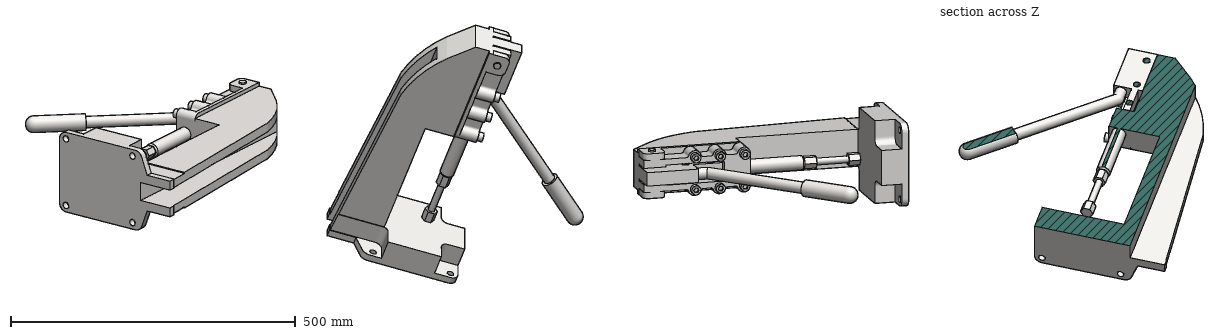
import cadquery as cq
import math


HEIGHT = 468.0
CLAMP_FACE_X = 21.5

BASE_LEFT = -76.0
BASE_RIGHT = 163.0
BASE_HALF = 150.0 / 2
PLATE_THICK = 12.5
PLATE_SHOULDER_X = 98.5
PRONG_START_X = 113.5
PLATE_CORNER_R = 15.0
BASE_HOLE_XS = (-62.0, 82.0)
BASE_HOLE_Z = 62.5
BASE_HOLE_D = 11.5
BASE_TOP = 49.5
SPINE_HALF = 32.0
WING_LEFT = -32.5
WING_RIGHT = 66.5
WING_FILLET = 12.5

FRAME_HALF = 33.5
COLUMN_LEFT = 74.0
SLANT_FOOT_X = 161.5
SLANT_TOP = (138.0, 330.0)
ARC_MID = (116.5, 386.5)
ARC_END = (86.0, 428.5)
HEAD_TOP_X = 47.0
HEAD_BOTTOM = 273.5
SLOT_LEFT = 99.5
SLOT_HALF = 17.0

CLAMP_LEFT = -18.5
FLANGE_X = 14.0
BOLT_Z = 29.0
BOSS_R = 11.5
BOSS_BLEND_R = 4.5
BOLT_PITCH = 45.0
BOLT_YS = [HEAD_BOTTOM + BOSS_R + i * BOLT_PITCH for i in range(3)]
CLAMP_HALF = BOLT_Z + BOSS_R
BOLT_HEAD_D = 16.5
BOLT_HEAD_H = 10.0
SOCKET_D = 9.5
SOCKET_DEPTH = 4.5
LUG_BOTTOM = 427.8
LUG_TOP = 467.5
LUG_R = 10.5
CHANNEL_HALF = 18.3
CHANNEL_BOTTOM = 321.0
CHANNEL_CORNER_R = 4.0
CHANNEL_NECK_HALF = 15.0

LEVER_LEFT = -39.0
LEVER_BOTTOM = 374.0
LEVER_HALF = 12.0
TOP_PIN_Y = 448.0
TOP_PIN_D = 12.5
TOP_PIN_HALF = 43.5
LINK_HALF = 12.0
LINK_PIN_HALF = 14.0
LINK_PINS = ((386.5, 12.0), (340.0, 12.0))

HANDLE_R = 10.5
ELBOW = (-25.5, 353.5)
HANDLE_TILT = 42.0
GRIP_R = 15.0
GRIP_START = 202.0
GRIP_END = 293.5

RAM_R = 12.5
RAM_BOTTOM = 174.0
RAM_CHAMFER = 3.5
SPINDLE_D = 12.0
NUT_CORNERS = 23.0
LOCK_NUT = (149.0, 171.0)
FOOT_NUT = (69.3, 89.5)


def block(x0, x1, y0, y1, half):
    """Box spanning x0..x1, y0..y1 and -half..half in Z."""
    size = (x1 - x0, y1 - y0, 2 * half)
    return cq.Workplane("XY").box(*size, centered=False).translate((x0, y0, -half))


def facing_y(y):
    """Workplane at height y that extrudes toward +Y, with its local x along X."""
    return cq.Workplane(cq.Plane((0, y, 0), xDir=(1, 0, 0), normal=(0, 1, 0)))


def rod_y(y0, y1, diameter, x=0.0):
    return facing_y(y0).center(x, 0).circle(diameter / 2).extrude(y1 - y0)


def nut(span):
    y0, y1 = span
    return facing_y(y0).polygon(6, NUT_CORNERS).extrude(y1 - y0)


def pin_z(y, diameter, half):
    return cq.Workplane("XY").center(0, y).circle(diameter / 2).extrude(half, both=True)


def back_x(y):
    """X of the slanted back edge of the frame at height y."""
    top_x, top_y = SLANT_TOP
    share = (y - PLATE_THICK) / (top_y - PLATE_THICK)
    return SLANT_FOOT_X + share * (top_x - SLANT_FOOT_X)


def make_base():
    outline = [
        (BASE_LEFT, BASE_HALF), (PLATE_SHOULDER_X, BASE_HALF),
        (PRONG_START_X, FRAME_HALF), (BASE_RIGHT, FRAME_HALF),
        (BASE_RIGHT, -FRAME_HALF), (PRONG_START_X, -FRAME_HALF),
        (PLATE_SHOULDER_X, -BASE_HALF), (BASE_LEFT, -BASE_HALF),
    ]
    plate = facing_y(0).polyline(outline).close().extrude(PLATE_THICK)
    corners = cq.selectors.BoxSelector(
        (BASE_LEFT - 4.5, 0, -BASE_HALF - 4.5), (PLATE_SHOULDER_X + 4.5, PLATE_THICK, BASE_HALF + 4.5))
    plate = plate.edges("|Y").edges(corners).fillet(PLATE_CORNER_R)
    holes = [(x, z) for x in BASE_HOLE_XS for z in (-BASE_HOLE_Z, BASE_HOLE_Z)]
    plate = plate.cut(
        facing_y(0).pushPoints(holes).circle(BASE_HOLE_D / 2).extrude(PLATE_THICK))

    spine = (
        cq.Workplane("XY")
        .polyline([(BASE_LEFT, 0), (BASE_LEFT, BASE_TOP), (back_x(BASE_TOP), BASE_TOP),
                   (SLANT_FOOT_X, PLATE_THICK), (SLANT_FOOT_X, 0)])
        .close()
        .extrude(SPINE_HALF, both=True)
    )
    body = spine.union(block(WING_LEFT, WING_RIGHT, 0, BASE_TOP, BASE_HALF))
    inner = cq.selectors.BoxSelector(
        (WING_LEFT - 4.5, 0, -SPINE_HALF - 4.5), (WING_RIGHT + 4.5, BASE_TOP, SPINE_HALF + 4.5))
    body = body.edges("|Y").edges(inner).fillet(WING_FILLET)
    return plate.union(body)


def make_frame():
    return (
        cq.Workplane("XY")
        .moveTo(COLUMN_LEFT, BASE_TOP)
        .lineTo(back_x(BASE_TOP), BASE_TOP)
        .lineTo(*SLANT_TOP)
        .threePointArc(ARC_MID, ARC_END)
        .lineTo(HEAD_TOP_X, HEIGHT)
        .lineTo(CLAMP_FACE_X, HEIGHT)
        .lineTo(CLAMP_FACE_X, HEAD_BOTTOM)
        .lineTo(COLUMN_LEFT, HEAD_BOTTOM)
        .close()
        .extrude(FRAME_HALF, both=True)
    )


def bolt_boss(y, side):
    """Half-round boss on the clamp core, blended into it; side is +1 or -1 in Z."""
    reach = math.sqrt((BOSS_R + BOSS_BLEND_R) ** 2 - BOSS_BLEND_R ** 2)
    ratio = BOSS_R / (BOSS_R + BOSS_BLEND_R)
    touch = (ratio * reach, ratio * BOSS_BLEND_R)
    blend_angle = math.atan2(reach, BOSS_BLEND_R) / 2
    middle = (reach - BOSS_BLEND_R * math.sin(blend_angle),
              BOSS_BLEND_R * (1 - math.cos(blend_angle)))

    def at(u, v):
        return (y + u, side * (BOLT_Z + v))

    return (
        cq.Workplane("YZ", origin=(CLAMP_LEFT, 0, 0))
        .moveTo(*at(-reach, 0))
        .threePointArc(at(-middle[0], middle[1]), at(-touch[0], touch[1]))
        .threePointArc(at(0, BOSS_R), at(*touch))
        .threePointArc(at(*middle), at(reach, 0))
        .lineTo(*at(reach, -BOSS_BLEND_R))
        .lineTo(*at(-reach, -BOSS_BLEND_R))
        .close()
        .extrude(FLANGE_X - CLAMP_LEFT)
    )


def make_clamp():
    clamp = block(CLAMP_LEFT, CLAMP_FACE_X, HEAD_BOTTOM, HEIGHT, BOLT_Z)
    clamp = clamp.union(block(FLANGE_X, CLAMP_FACE_X, HEAD_BOTTOM, HEIGHT, CLAMP_HALF))
    lugs = block(CLAMP_LEFT, CLAMP_FACE_X, LUG_BOTTOM, LUG_TOP, CLAMP_HALF)
    clamp = clamp.union(lugs.edges("|Z and <X").fillet(LUG_R))
    for y in BOLT_YS:
        for side in (-1, 1):
            clamp = clamp.union(bolt_boss(y, side))

    envelope = block(CLAMP_LEFT, CLAMP_FACE_X, HEAD_BOTTOM, HEIGHT, CLAMP_HALF)
    clamp = clamp.intersect(envelope.edges("|X and <Y").fillet(BOSS_R))

    channel = block(CLAMP_LEFT, FLANGE_X, CHANNEL_BOTTOM, LUG_BOTTOM, CHANNEL_HALF)
    channel = channel.edges("|X and <Y").fillet(CHANNEL_CORNER_R)
    neck = block(CLAMP_LEFT, FLANGE_X, LUG_BOTTOM, HEIGHT, CHANNEL_NECK_HALF)
    return clamp.cut(channel).cut(neck)


def make_bolt_heads():
    centers = [(y, z) for y in BOLT_YS for z in (-BOLT_Z, BOLT_Z)]
    seat = cq.Workplane("YZ", origin=(CLAMP_LEFT, 0, 0)).pushPoints(centers)
    heads = seat.circle(BOLT_HEAD_D / 2).extrude(-BOLT_HEAD_H)
    face = cq.Workplane("YZ", origin=(CLAMP_LEFT - BOLT_HEAD_H, 0, 0)).pushPoints(centers)
    return heads.cut(face.polygon(6, SOCKET_D).extrude(SOCKET_DEPTH))


def make_toggle():
    toggle = block(LEVER_LEFT, FLANGE_X, LEVER_BOTTOM, HEIGHT, LEVER_HALF)
    toggle = toggle.union(pin_z(TOP_PIN_Y, TOP_PIN_D, TOP_PIN_HALF))
    for y, diameter in LINK_PINS:
        toggle = toggle.union(pin_z(y, diameter, LINK_PIN_HALF))
    (upper_y, link_width), _ = LINK_PINS
    half_width = link_width / 2
    return toggle.union(block(-half_width, half_width, CHANNEL_BOTTOM, upper_y, LINK_HALF))


def make_handle():
    elbow_x, elbow_y = ELBOW
    tilt = math.radians(HANDLE_TILT)
    axis = (-math.cos(tilt), -math.sin(tilt), 0)
    plane = cq.Plane((elbow_x, elbow_y, 0), (0, 0, 1), axis)
    stem = rod_y(elbow_y, LEVER_BOTTOM, 2 * HANDLE_R, elbow_x)
    knuckle = cq.Workplane("XY").sphere(HANDLE_R).translate((elbow_x, elbow_y, 0))
    shaft = cq.Workplane(plane).circle(HANDLE_R).extrude(GRIP_START)
    grip = (
        cq.Workplane(plane)
        .workplane(offset=GRIP_START)
        .circle(GRIP_R)
        .extrude(GRIP_END - GRIP_START)
    )
    tip = (elbow_x + GRIP_END * axis[0], elbow_y + GRIP_END * axis[1], 0)
    ball = cq.Workplane("XY").sphere(GRIP_R).translate(tip)
    return stem.union(knuckle).union(shaft).union(grip).union(ball)


def make_ram():
    ram = rod_y(RAM_BOTTOM - RAM_CHAMFER, HEAD_BOTTOM, 2 * RAM_R)
    ram = ram.faces("<Y").chamfer(RAM_CHAMFER)
    spindle = rod_y(FOOT_NUT[0], LOCK_NUT[1], SPINDLE_D)
    return ram.union(spindle).union(nut(LOCK_NUT)).union(nut(FOOT_NUT))


result = make_base().union(make_frame())
result = result.cut(block(SLOT_LEFT, BASE_RIGHT, 0, HEIGHT, SLOT_HALF))
for piece in (make_clamp(), make_bolt_heads(), make_toggle(), make_handle(), make_ram()):
    result = result.union(piece)